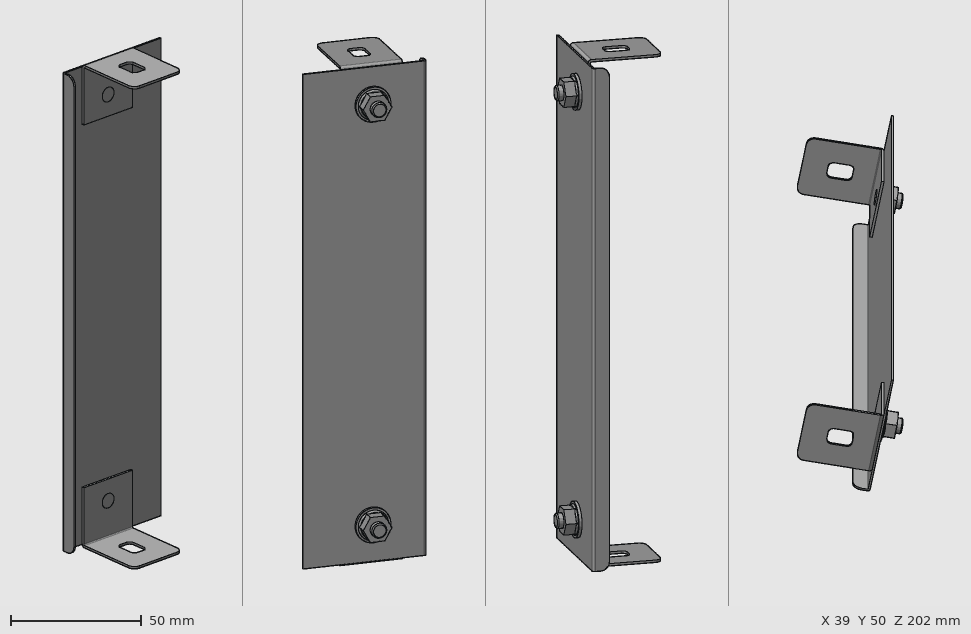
import cadquery as cq

overall_height = 202.0
stud_spacing = 170.0
stud_heights = (-stud_spacing / 2, stud_spacing / 2)

panel_thickness = 0.8
panel_height = 200.0
panel_width = 50.0
lip_face_y = -22.0
lip_depth = 6.7
lip_corner_radius = 3.6
panel_bend_radius = 1.0

bracket_thickness = 1.0
bracket_width = 25.0
bracket_bend_radius = 1.5
leg_length = 25.0
tab_end_x = 30.5
tab_corner_radius = 3.0
slot_length = 9.9
slot_width = 6.9
slot_corner_radius = 2.0
slot_center_x = 15.5

stud_diameter = 6.0
stud_tip_diameter = 5.0
stud_tip_x = -8.5
stud_root_x = panel_thickness + bracket_thickness

nut_height = 6.0
nut_across_flats = 10.0
hexagon_sides = 6
hexagon_turn = 180 / hexagon_sides
flange_diameter = 14.1
flange_thickness = 1.2
cone_base_diameter = 12.3
cone_top_diameter = 10.7
cone_height = 0.6


def bar_along_x(diameter, start_x, end_x, z):
    """Round bar from start_x to end_x, centred on Y = 0 at height z."""
    return cq.Workplane("YZ", origin=(start_x, 0, z)).circle(diameter / 2).extrude(end_x - start_x)


def make_panel():
    """Folded cover panel with rounded lip corners and a clearance hole per stud."""
    outer = (
        cq.Workplane("XY")
        .box(lip_depth, panel_width, panel_height, centered=(False, False, True))
        .translate((0, lip_face_y, 0))
        .edges("|Z and <X and <Y")
        .fillet(panel_bend_radius)
    )
    inner = (
        cq.Workplane("XY")
        .box(lip_depth, panel_width, panel_height, centered=(False, False, True))
        .translate((panel_thickness, lip_face_y + panel_thickness, 0))
        .edges("|Z and <X and <Y")
        .fillet(panel_bend_radius - panel_thickness)
    )
    panel = outer.cut(inner).edges("|Y and >X").fillet(lip_corner_radius)
    for z in stud_heights:
        panel = panel.cut(bar_along_x(stud_diameter, 0, panel_thickness, z))
    return panel


def bent_corner_block(start_x, top_z, corner_radius):
    """Block as wide as the bracket, with its -X, +Z edge rounded."""
    return (
        cq.Workplane("XY")
        .box(tab_end_x - start_x, bracket_width, leg_length, centered=(False, True, False))
        .translate((start_x, 0, top_z - leg_length))
        .edges("|Y and <X and >Z")
        .fillet(corner_radius)
    )


def make_upper_bracket():
    """Angle bracket at the +Z end, with a slotted tab and a stud hole in its leg."""
    top_z = overall_height / 2
    outer = bent_corner_block(panel_thickness, top_z, bracket_bend_radius)
    inner = bent_corner_block(
        panel_thickness + bracket_thickness,
        top_z - bracket_thickness,
        bracket_bend_radius - bracket_thickness,
    )
    bracket = outer.cut(inner).edges("|Z and >X").fillet(tab_corner_radius)
    slot = (
        cq.Workplane("XY")
        .box(slot_length, slot_width, bracket_thickness)
        .translate((slot_center_x, 0, top_z - bracket_thickness / 2))
        .edges("|Z")
        .fillet(slot_corner_radius)
    )
    stud_hole = bar_along_x(stud_diameter, panel_thickness, stud_root_x, stud_spacing / 2)
    return bracket.cut(slot).cut(stud_hole)


def make_stud(z):
    """Stud flush with the back of the bracket leg, chamfered at its free end."""
    tip_chamfer = (stud_diameter - stud_tip_diameter) / 2
    return bar_along_x(stud_diameter, stud_tip_x, stud_root_x, z).faces("<X").chamfer(tip_chamfer)


def make_nut(z):
    """Hexagon nut on a round flange, with a short cone between the two."""
    flange = bar_along_x(flange_diameter, -flange_thickness, 0, z)
    cone = (
        cq.Workplane("YZ", origin=(-flange_thickness, 0, z))
        .circle(cone_base_diameter / 2)
        .workplane(offset=-cone_height)
        .circle(cone_top_diameter / 2)
        .loft()
    )
    hexagon = (
        cq.Workplane("YZ", origin=(-nut_height, 0, z))
        .transformed(rotate=(0, 0, hexagon_turn))
        .polygon(hexagon_sides, nut_across_flats, circumscribed=True)
        .extrude(nut_height)
    )
    bore = bar_along_x(stud_diameter, -nut_height, 0, z)
    return flange.union(cone).union(hexagon).cut(bore)


panel = make_panel()
upper_bracket = make_upper_bracket()
lower_bracket = upper_bracket.mirror("XY")
studs = [make_stud(z).val() for z in stud_heights]
nuts = [make_nut(z).val() for z in stud_heights]

result = cq.Compound.makeCompound(
    [panel.val(), upper_bracket.val(), lower_bracket.val(), *studs, *nuts]
)